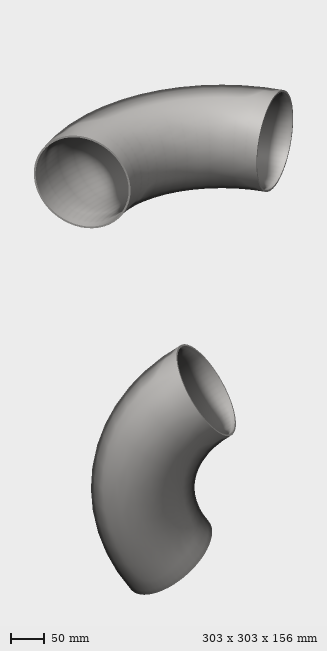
import cadquery as cq

outer_diameter = 156.0
wall_thickness = 3.0
bend_radius = 225.0
bend_angle = 90.0

outer_radius = outer_diameter / 2
inner_radius = outer_radius - wall_thickness


def make_elbow():
    """Sweep the pipe ring from the -Y end face (centred on the origin) to the +X end face."""
    ring = cq.Workplane("XZ").circle(outer_radius).circle(inner_radius)
    axis_start = (bend_radius, 0)
    axis_end = (bend_radius, -1)
    return ring.revolve(bend_angle, axis_start, axis_end)


result = make_elbow()